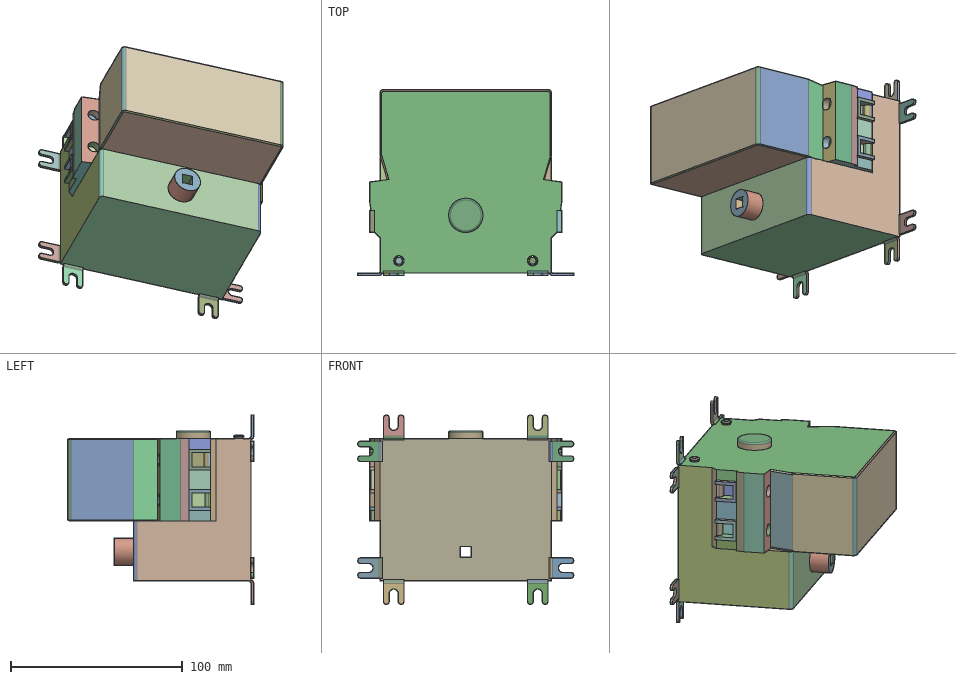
import cadquery as cq
import math

BODY_WIDTH = 100.0
BODY_HEIGHT = 83.0
LOWER_DEPTH = 68.7
UPPER_DEPTH = 107.0
UPPER_HEIGHT = 48.0
UPPER_BOTTOM = BODY_HEIGHT - UPPER_HEIGHT
HALF_WIDTH = BODY_WIDTH / 2
REAR_CORNER_RADIUS = 2.0
RIM_CHAMFER_WIDTH = 1.0
RIM_CHAMFER_HEIGHT = 0.5

TAPER_END_X = 45.8
TAPER_END_Y = 54.5
FLANK_X = 56.0
FLANK_REAR_Y = 53.2
FLANK_SLOPE_Y = 41.2
FLANK_SLOPE_DROP = 0.7
TERMINAL_REAR_Y = 36.4
TERMINAL_FRONT_Y = 23.8
TERMINAL_FLOOR_X = 53.3
FLANK_CHAMFER = TERMINAL_FLOOR_X - HALF_WIDTH

UPPER_FRAME_DROP = 12.4
LOWER_FRAME_DROP = 35.9
FRAME_HEIGHT = 12.1
POCKET_HEIGHT = 8.2
POCKET_REAR_WALL = 2.0
UPPER_POCKET_FRONT_WALL = 3.6
LOWER_POCKET_FRONT_WALL = 3.1
POCKET_FLOOR_X = 49.5
POCKET_LIP_RADIUS = 2.1
WIRE_HOLE_DIAMETER = 7.0
WIRE_HOLE_X = 48.7
WIRE_HOLE_DEPTH = 5.0

BUTTON_DIAMETER = 20.0
BUTTON_HEIGHT = 4.4
BUTTON_Y = 33.7
BUTTON_ROUND = 1.0
PIN_X = 39.0
PIN_Y = 7.2
PIN_NECK_RADIUS = 2.5
PIN_NECK_HEIGHT = 0.9
PIN_RIM_RADIUS = 3.0
PIN_RIM_HEIGHT = 1.4
PIN_TOP_RADIUS = 2.0
PIN_HEIGHT = 2.1

HUB_DIAMETER = 16.0
HUB_END_Y = 80.0
SHAFT_Z = 16.9
SHAFT_HOLE_SIDE = 6.2

TAB_WIDTH = 12.0
TAB_THICKNESS = 1.5
TAB_SLOT_WIDTH = 5.2
TAB_SLOT_DEPTH = 8.9
TAB_SIDE_REACH = 13.0
TAB_END_REACH = 13.75
TAB_LENGTH = 14.6
TAB_BEND_ANGLE = math.radians(45)
TAB_INNER_BEND_RADIUS = 0.5
TAB_ROOT_DEPTH = 1.0
SIDE_TAB_INSET = 7.5
END_TAB_X = 42.0


def box(x0, x1, y0, y1, z0, z1):
    return cq.Workplane("XY").box(x1 - x0, y1 - y0, z1 - z0, centered=False).translate((x0, y0, z0))


def mirrored(shape):
    """Join a shape on the -X side with its twin on the +X side."""
    return shape.union(shape.mirror("YZ"))


def lower_body():
    body = box(-HALF_WIDTH, HALF_WIDTH, 0, LOWER_DEPTH, 0, UPPER_BOTTOM)
    return body.edges("|Z and >Y").fillet(REAR_CORNER_RADIUS)


def rim_selector(front_y, rear_y):
    """Select edges whose centres lie between two Y positions."""
    return cq.selectors.BoxSelector((-FLANK_X, front_y, 0), (FLANK_X, rear_y, BODY_HEIGHT + 1))


def upper_block():
    half_outline = [
        (HALF_WIDTH, 0),
        (HALF_WIDTH, TERMINAL_FRONT_Y - FLANK_CHAMFER),
        (TERMINAL_FLOOR_X, TERMINAL_FRONT_Y),
        (TERMINAL_FLOOR_X, TERMINAL_REAR_Y),
        (FLANK_X - FLANK_SLOPE_DROP, TERMINAL_REAR_Y),
        (FLANK_X, FLANK_SLOPE_Y),
        (FLANK_X, FLANK_REAR_Y),
        (TAPER_END_X, TAPER_END_Y),
        (HALF_WIDTH, LOWER_DEPTH),
        (HALF_WIDTH, UPPER_DEPTH),
    ]
    other_half = [(-x, y) for x, y in reversed(half_outline)]
    block = (
        cq.Workplane("XY", origin=(0, 0, UPPER_BOTTOM))
        .polyline(half_outline + other_half)
        .close()
        .extrude(UPPER_HEIGHT)
    )
    block = block.edges("|Z and >Y").fillet(REAR_CORNER_RADIUS)
    rear_rim = block.edges(rim_selector(LOWER_DEPTH, UPPER_DEPTH + 1)).edges("#Z")
    block = rear_rim.chamfer(RIM_CHAMFER_HEIGHT, RIM_CHAMFER_WIDTH)
    taper_rim = block.edges(rim_selector(TAPER_END_Y, LOWER_DEPTH)).edges("#Z")
    return taper_rim.chamfer(RIM_CHAMFER_WIDTH, RIM_CHAMFER_HEIGHT)


def terminal_frame(z):
    """Frame on the -X flank, centred at height z."""
    return box(
        -FLANK_X, -TERMINAL_FLOOR_X, TERMINAL_FRONT_Y, TERMINAL_REAR_Y,
        z - FRAME_HEIGHT / 2, z + FRAME_HEIGHT / 2,
    )


def terminal_pocket(z, front_wall):
    """Cutter for one frame: a pocket whose front wall is low and has a rounded lip."""
    rear = TERMINAL_REAR_Y - POCKET_REAR_WALL
    front = TERMINAL_FRONT_Y + front_wall
    return (
        cq.Workplane("XY", origin=(0, 0, z - POCKET_HEIGHT / 2))
        .moveTo(-POCKET_FLOOR_X, rear)
        .lineTo(-FLANK_X, rear)
        .lineTo(-FLANK_X, TERMINAL_FRONT_Y)
        .lineTo(-TERMINAL_FLOOR_X, TERMINAL_FRONT_Y)
        .lineTo(-TERMINAL_FLOOR_X, front - POCKET_LIP_RADIUS)
        .radiusArc((-TERMINAL_FLOOR_X + POCKET_LIP_RADIUS, front), POCKET_LIP_RADIUS)
        .lineTo(-POCKET_FLOOR_X, front)
        .close()
        .extrude(POCKET_HEIGHT)
    )


def wire_hole(z):
    """Cutter for a blind hole in the rear step of the -X flank."""
    return (
        cq.Workplane("XZ", origin=(-WIRE_HOLE_X, TAPER_END_Y, z))
        .circle(WIRE_HOLE_DIAMETER / 2)
        .extrude(WIRE_HOLE_DEPTH)
    )


def button():
    return (
        cq.Workplane("XY", origin=(0, BUTTON_Y, BODY_HEIGHT))
        .circle(BUTTON_DIAMETER / 2)
        .extrude(BUTTON_HEIGHT)
        .faces(">Z")
        .edges()
        .fillet(BUTTON_ROUND)
    )


def pin():
    profile = [
        (0, 0),
        (PIN_NECK_RADIUS, 0),
        (PIN_NECK_RADIUS, PIN_NECK_HEIGHT),
        (PIN_RIM_RADIUS, PIN_NECK_HEIGHT),
        (PIN_RIM_RADIUS, PIN_RIM_HEIGHT),
        (PIN_TOP_RADIUS, PIN_HEIGHT),
        (0, PIN_HEIGHT),
    ]
    solid = cq.Workplane("XZ").polyline(profile).close().revolve(360, (0, 0), (0, 1))
    return solid.translate((-PIN_X, PIN_Y, BODY_HEIGHT))


def hub():
    return (
        cq.Workplane("XZ", origin=(0, LOWER_DEPTH, SHAFT_Z))
        .circle(HUB_DIAMETER / 2)
        .extrude(LOWER_DEPTH - HUB_END_Y)
    )


def shaft_hole():
    half = SHAFT_HOLE_SIDE / 2
    return box(-half, half, 0, HUB_END_Y, SHAFT_Z - half, SHAFT_Z + half)


def tab():
    """Tab pointing along +X, bent out of the plane Y = 0, its outer side leaving that plane at X = 0."""
    sine = math.sin(TAB_BEND_ANGLE)
    cosine = math.cos(TAB_BEND_ANGLE)
    inner_radius = TAB_INNER_BEND_RADIUS
    outer_radius = inner_radius + TAB_THICKNESS
    bend_y = outer_radius * (1 - cosine) - TAB_THICKNESS
    bend_x = outer_radius * sine - bend_y / math.tan(TAB_BEND_ANGLE)
    outer_bend_end = (bend_x - outer_radius * sine, bend_y)
    inner_bend_end = (bend_x - inner_radius * sine, inner_radius * (1 - cosine))
    outer_root = (-TAB_ROOT_DEPTH, TAB_ROOT_DEPTH * math.tan(TAB_BEND_ANGLE))
    inner_root = (outer_root[0] + TAB_THICKNESS * sine, outer_root[1] + TAB_THICKNESS * cosine)
    strip = (
        cq.Workplane("XY")
        .moveTo(TAB_LENGTH, -TAB_THICKNESS)
        .lineTo(bend_x, -TAB_THICKNESS)
        .radiusArc(outer_bend_end, outer_radius)
        .lineTo(*outer_root)
        .lineTo(*inner_root)
        .lineTo(*inner_bend_end)
        .radiusArc((bend_x, 0), -inner_radius)
        .lineTo(TAB_LENGTH, 0)
        .close()
        .extrude(TAB_WIDTH / 2, both=True)
    )

    slot_radius = TAB_SLOT_WIDTH / 2
    half_width = TAB_WIDTH / 2
    prong_radius = (half_width - slot_radius) / 2
    slot_centre = TAB_LENGTH - TAB_SLOT_DEPTH + slot_radius
    prong_end = TAB_LENGTH - prong_radius
    fork = (
        cq.Workplane("XZ", origin=(0, inner_root[1], 0))
        .moveTo(-TAB_ROOT_DEPTH, -half_width)
        .lineTo(prong_end, -half_width)
        .radiusArc((prong_end, -slot_radius), -prong_radius)
        .lineTo(slot_centre, -slot_radius)
        .radiusArc((slot_centre, slot_radius), slot_radius)
        .lineTo(prong_end, slot_radius)
        .radiusArc((prong_end, half_width), -prong_radius)
        .lineTo(-TAB_ROOT_DEPTH, half_width)
        .close()
        .extrude(inner_root[1] + TAB_THICKNESS)
    )
    return strip.intersect(fork)


def mounting_tabs():
    """Tabs of the -X half: two on the side, one at the top and one at the bottom."""
    side_foot = HALF_WIDTH + TAB_SIDE_REACH - TAB_LENGTH
    end_foot = TAB_END_REACH - TAB_LENGTH
    side_tab = tab().mirror("YZ")
    upward_tab = tab().rotate((0, 0, 0), (0, 1, 0), -90)
    downward_tab = tab().rotate((0, 0, 0), (0, 1, 0), 90)
    return [
        side_tab.translate((-side_foot, 0, SIDE_TAB_INSET)),
        side_tab.translate((-side_foot, 0, BODY_HEIGHT - SIDE_TAB_INSET)),
        upward_tab.translate((-END_TAB_X, 0, BODY_HEIGHT + end_foot)),
        downward_tab.translate((-END_TAB_X, 0, -end_foot)),
    ]


terminals = [
    (BODY_HEIGHT - UPPER_FRAME_DROP, UPPER_POCKET_FRONT_WALL),
    (BODY_HEIGHT - LOWER_FRAME_DROP, LOWER_POCKET_FRONT_WALL),
]

result = lower_body().union(upper_block()).union(button()).union(hub())
result = result.union(mirrored(pin()))
for z, front_wall in terminals:
    result = result.union(mirrored(terminal_frame(z)))
    result = result.cut(mirrored(terminal_pocket(z, front_wall)))
    result = result.cut(mirrored(wire_hole(z)))
for mounting_tab in mounting_tabs():
    result = result.union(mirrored(mounting_tab))
result = result.cut(shaft_hole())